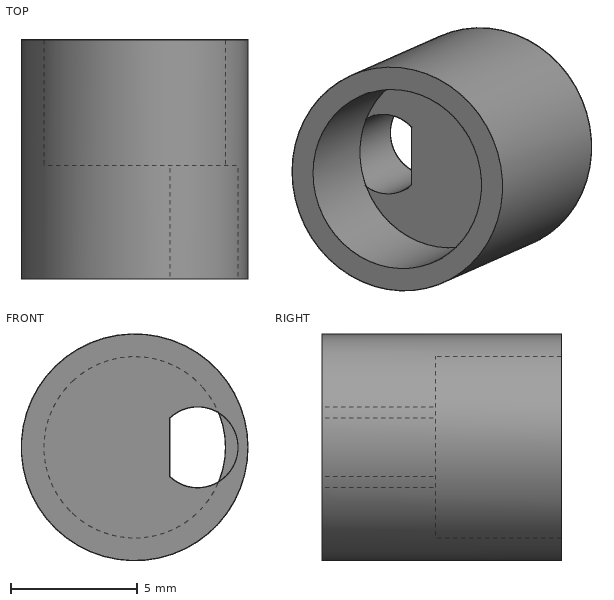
import cadquery as cq

outer_diameter = 9.0
length = 9.5

bore_diameter = 7.2
front_wall = 4.5
bore_depth = length - front_wall

hole_diameter = 3.2
hole_offset = 2.5
flat_distance = 1.1


def cylinder_along_y(diameter, start_y, depth, center_x=0.0):
    """Cylinder running towards +Y from start_y."""
    base = cq.Plane(origin=(center_x, start_y, 0), xDir=(1, 0, 0), normal=(0, 1, 0))
    return cq.Workplane(base).circle(diameter / 2).extrude(depth)


def d_hole_cutter():
    """Cylinder trimmed by a flat on its side nearest the cap axis."""
    front_y = -length / 2
    round_hole = cylinder_along_y(hole_diameter, front_y, front_wall, hole_offset)
    kept_side = (
        cq.Workplane("XY")
        .box(hole_diameter, front_wall, hole_diameter, centered=(False, False, True))
        .translate((hole_offset - flat_distance, front_y, 0))
    )
    return round_hole.intersect(kept_side)


body = cylinder_along_y(outer_diameter, -length / 2, length)
bore = cylinder_along_y(bore_diameter, -length / 2 + front_wall, bore_depth)

result = body.cut(bore).cut(d_hole_cutter())